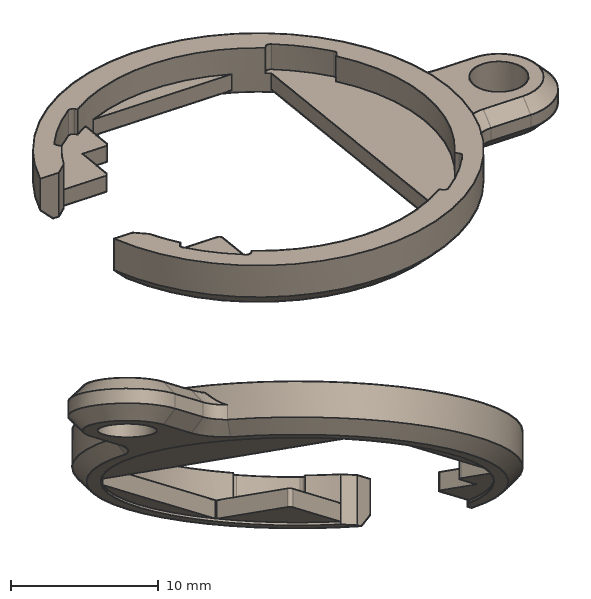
import cadquery as cq
import math

outer_diameter = 30.55
outer_radius = outer_diameter / 2
inner_radius = 13.33
ring_height = 3.5
floor_top = 1.48
floor_underside = 0.2
edge_chamfer = 1.0

lug_radius = 4.0
lug_center_y = 19.3
lug_height = 3.0
lug_hole_diameter = 4.0
lug_blend_radius = 2.0
lug_root_inset = 0.08
lug_root_radius = outer_radius - lug_root_inset

notch_radius = 13.85
notch_width = 4.92
notch_corner_radius = 0.35
notch_angles = (45, 135, 225, 315)

opening_left = -12.1
opening_right = 11.7
opening_top = 7.87
opening_bottom = -6.47
step_x = -8.7
step_y = -8.6
tab_corner_radius = 0.25

throat_half_width = 5.4
gap_half_width = 4.65
tip_bevel_depth = 0.87
throat_end_y = -math.sqrt(inner_radius**2 - throat_half_width**2)
gap_start_y = throat_end_y - tip_bevel_depth


def disc(radius, height):
    return cq.Workplane("XY").circle(radius).extrude(height)


def make_lug():
    """Lug blended into a root disc hidden inside the ring, beveled along its top and bottom edges."""
    blend_x = lug_radius + lug_blend_radius
    blend_distance = lug_root_radius + lug_blend_radius
    blend_y = math.sqrt(blend_distance**2 - blend_x**2)
    contact_x = blend_x * lug_root_radius / blend_distance
    contact_y = blend_y * lug_root_radius / blend_distance

    half_turn = math.atan2(blend_y, blend_x) / 2
    middle_x = blend_x - lug_blend_radius * math.cos(half_turn)
    middle_y = blend_y - lug_blend_radius * math.sin(half_turn)

    return (
        cq.Workplane("XY")
        .moveTo(-lug_radius, lug_center_y)
        .threePointArc((0, lug_center_y + lug_radius), (lug_radius, lug_center_y))
        .lineTo(lug_radius, blend_y)
        .threePointArc((middle_x, middle_y), (contact_x, contact_y))
        .threePointArc((0, -lug_root_radius), (-contact_x, contact_y))
        .threePointArc((-middle_x, middle_y), (-lug_radius, blend_y))
        .close()
        .extrude(lug_height)
        .faces("<Z or >Z")
        .chamfer(edge_chamfer)
    )


def make_notch(angle):
    """Straight-sided notch with a round end wall, above the floor only."""
    depth = ring_height - floor_top
    bar = cq.Workplane("XY").box(notch_radius * 2, notch_width, depth, centered=(False, True, False))
    notch = bar.intersect(disc(notch_radius, depth))
    notch = notch.edges("|Z").edges(">X").fillet(notch_corner_radius)
    return notch.rotate((0, 0, 0), (0, 0, 1), angle).translate((0, 0, floor_top))


def make_opening():
    """Stepped opening in the floor, bounded by the inner wall of the ring."""
    outline = [
        (opening_left, opening_top),
        (opening_right, opening_top),
        (opening_right, opening_bottom),
        (throat_half_width, opening_bottom),
        (throat_half_width, -outer_radius),
        (-throat_half_width, -outer_radius),
        (-throat_half_width, step_y),
        (step_x, step_y),
        (step_x, opening_bottom),
        (opening_left, opening_bottom),
    ]
    tab_corners = [
        (throat_half_width, opening_bottom),
        (-throat_half_width, step_y),
        (step_x, opening_bottom),
    ]
    opening = cq.Workplane("XY").polyline(outline).close().extrude(floor_top)
    for x, y in tab_corners:
        corner = cq.selectors.NearestToPointSelector((x, y, floor_top / 2))
        opening = opening.edges("|Z").edges(corner).fillet(tab_corner_radius)
    return opening.intersect(disc(inner_radius, floor_top))


def make_gap():
    """Gap between the two ring ends, with beveled inner corners."""
    return (
        cq.Workplane("XY")
        .moveTo(-throat_half_width, throat_end_y)
        .lineTo(-gap_half_width, gap_start_y)
        .lineTo(-gap_half_width, -outer_radius)
        .lineTo(gap_half_width, -outer_radius)
        .lineTo(gap_half_width, gap_start_y)
        .lineTo(throat_half_width, throat_end_y)
        .close()
        .extrude(ring_height)
    )


ring_body = disc(outer_radius, ring_height).faces("<Z").chamfer(edge_chamfer)
pocket = disc(inner_radius, ring_height).translate((0, 0, floor_top))
underside_recess = disc(inner_radius, floor_underside)
lug_hole = disc(lug_hole_diameter / 2, ring_height).translate((0, lug_center_y, 0))

result = ring_body.union(make_lug()).cut(pocket).cut(underside_recess).cut(lug_hole)
for notch_angle in notch_angles:
    result = result.cut(make_notch(notch_angle))
result = result.cut(make_opening()).cut(make_gap())